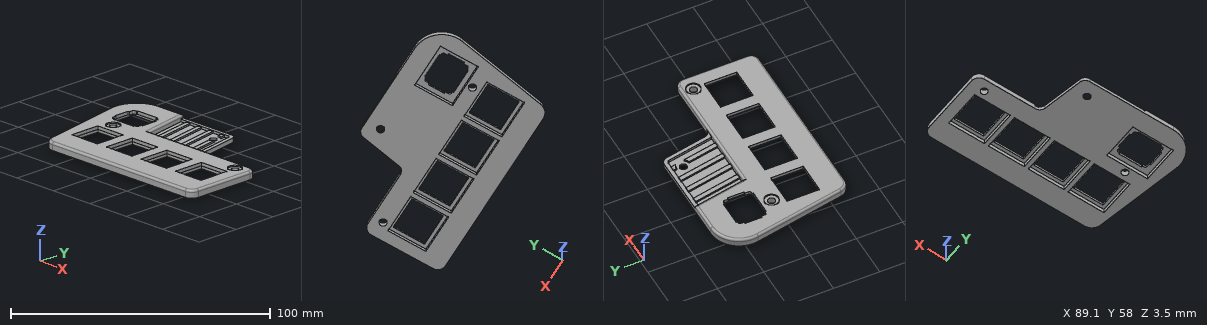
import cadquery as cq
import math

WIDTH = 89.1
DEPTH = 58.0
THICKNESS = 3.5
BAR_DEPTH = 35.0
LEAN = math.radians(10.6)
ARM_RIGHT_FOOT = 29.9
SHOULDER_RADIUS = 12.2
LOWER_LEFT_RADIUS = 5.0
RIGHT_RADIUS = 3.6
EDGE_RADIUS = 1.0

TAB_TOP = 2.0
TAB_RIGHT_FOOT = 58.8
TAB_RADIUS = 3.0
RIM = 1.8
POCKET_RADIUS = TAB_RADIUS - RIM
POCKET_DEPTH = 1.1
POCKET_FLOOR = TAB_TOP - POCKET_DEPTH

RIB_COUNT = 4
RIB_HEIGHT = 0.7
RIB_SPAN = 2.05
RIB_PITCH = 6.3
FIRST_RIB_FOOT = 32.9

HOLE_DIAMETER = 3.0
HEAD_DIAMETER = 6.0
HEAD_DEPTH = 0.5
PLATE_HOLES = [(15.1, 30.3), (82.2, 30.2)]
TAB_HOLE = (48.6, 51.5)

KEY_COUNT = 4
KEY_SIZE = 14.0
KEY_PITCH = 19.0
FIRST_KEY = (18.7, 18.3)

WEB_THICKNESS = 1.4
RECESS_TOP = THICKNESS - WEB_THICKNESS
KEY_RECESS_MARGIN = 1.5
ARM_RECESS_MARGIN = 2.05

ARM_OPENING = (15.95, 41.45)
OPENING_SIZE = (13.8, 11.8)
OPENING_RADIUS = 0.7
WIDE_STEP = (15.2, 7.1)
TALL_STEP = (10.9, 12.9)


def leaning_x(foot_x, foot_y, y):
    """X at height y of a slanted side that passes through the foot point."""
    return foot_x - (y - foot_y) * math.tan(LEAN)


def prism(points, bottom, top):
    return cq.Workplane("XY").workplane(offset=bottom).polyline(points).close().extrude(top - bottom)


def box(center, size, height=THICKNESS):
    return cq.Workplane("XY").center(*center).rect(*size).extrude(height)


def cylinder(center, diameter, bottom, top):
    return cq.Workplane("XY").workplane(offset=bottom).center(*center).circle(diameter / 2).extrude(top - bottom)


def round_corner(body, corner, radius):
    """Round the upright edge that stands at the given corner."""
    edge = cq.selectors.NearestToPointSelector((*corner, THICKNESS / 2))
    return body.edges("|Z").edges(edge).fillet(radius)


def make_plate():
    tangent_x = SHOULDER_RADIUS * (1 - math.cos(LEAN))
    tangent_y = DEPTH - SHOULDER_RADIUS * (1 + math.sin(LEAN))
    lower_left = (leaning_x(tangent_x, tangent_y, 0), 0)
    upper_left = (leaning_x(tangent_x, tangent_y, DEPTH), DEPTH)
    lower_right = (WIDTH, 0)
    upper_right = (WIDTH, BAR_DEPTH)
    notch = (ARM_RIGHT_FOOT, BAR_DEPTH)
    arm_top = (leaning_x(ARM_RIGHT_FOOT, BAR_DEPTH, DEPTH), DEPTH)

    plate = prism([lower_left, lower_right, upper_right, notch, arm_top, upper_left], 0, THICKNESS)
    plate = round_corner(plate, upper_left, SHOULDER_RADIUS)
    plate = round_corner(plate, lower_left, LOWER_LEFT_RADIUS)
    plate = round_corner(plate, lower_right, RIGHT_RADIUS)
    plate = round_corner(plate, upper_right, RIGHT_RADIUS)
    return plate.faces(">Z").edges().fillet(EDGE_RADIUS)


def slanted_panel(left_foot, right_foot, y_top, bottom, top):
    """Upright panel between two leaning sides, standing on the bar's upper edge."""
    return prism(
        [
            (left_foot, BAR_DEPTH),
            (right_foot, BAR_DEPTH),
            (leaning_x(right_foot, BAR_DEPTH, y_top), y_top),
            (leaning_x(left_foot, BAR_DEPTH, y_top), y_top),
        ],
        bottom,
        top,
    )


def make_tab():
    tab = slanted_panel(ARM_RIGHT_FOOT, TAB_RIGHT_FOOT, DEPTH, 0, TAB_TOP)
    tab = round_corner(tab, (leaning_x(TAB_RIGHT_FOOT, BAR_DEPTH, DEPTH), DEPTH), TAB_RADIUS)

    pocket_top_y = DEPTH - RIM
    pocket_right_foot = TAB_RIGHT_FOOT - RIM / math.cos(LEAN)
    pocket_corner = (leaning_x(pocket_right_foot, BAR_DEPTH, pocket_top_y), pocket_top_y)
    pocket = slanted_panel(ARM_RIGHT_FOOT, pocket_right_foot, pocket_top_y, POCKET_FLOOR, TAB_TOP)
    tab = tab.cut(round_corner(pocket, pocket_corner, POCKET_RADIUS))

    rib_top = POCKET_FLOOR + RIB_HEIGHT
    screw_clearance = cylinder(TAB_HOLE, HEAD_DIAMETER, POCKET_FLOOR, TAB_TOP)
    for i in range(RIB_COUNT):
        foot = FIRST_RIB_FOOT + i * RIB_PITCH
        rib = slanted_panel(foot, foot + RIB_SPAN, pocket_top_y, POCKET_FLOOR, rib_top)
        tab = tab.union(rib.cut(screw_clearance))
    return tab


def make_inside_corner():
    """Concave blend between the tab's right side and the bar's upper edge."""
    reach = TAB_RADIUS * math.tan((math.pi / 2 - LEAN) / 2)
    foot = (TAB_RIGHT_FOOT, BAR_DEPTH)
    on_side = (foot[0] - reach * math.sin(LEAN), foot[1] + reach * math.cos(LEAN))
    on_bar = (foot[0] + reach, foot[1])
    center = (on_bar[0], on_bar[1] + TAB_RADIUS)
    wedge = prism([foot, on_bar, center, on_side], 0, TAB_TOP)
    return wedge.cut(cylinder(center, 2 * TAB_RADIUS, 0, TAB_TOP))


def make_arm_opening():
    opening = box(ARM_OPENING, OPENING_SIZE).edges("|Z").fillet(OPENING_RADIUS)
    recess_size = (WIDE_STEP[0] + 2 * ARM_RECESS_MARGIN, TALL_STEP[1] + 2 * ARM_RECESS_MARGIN)
    opening = opening.union(box(ARM_OPENING, WIDE_STEP)).union(box(ARM_OPENING, TALL_STEP))
    return opening.union(box(ARM_OPENING, recess_size, RECESS_TOP))


def make_key_opening(center):
    recess_side = KEY_SIZE + 2 * KEY_RECESS_MARGIN
    opening = box(center, (KEY_SIZE, KEY_SIZE))
    return opening.union(box(center, (recess_side, recess_side), RECESS_TOP))


result = make_plate().union(make_tab()).union(make_inside_corner())
result = result.cut(make_arm_opening())

for i in range(KEY_COUNT):
    result = result.cut(make_key_opening((FIRST_KEY[0] + i * KEY_PITCH, FIRST_KEY[1])))

for center in PLATE_HOLES:
    result = result.cut(cylinder(center, HOLE_DIAMETER, 0, THICKNESS))
    result = result.cut(cylinder(center, HEAD_DIAMETER, THICKNESS - HEAD_DEPTH, THICKNESS))

result = result.cut(cylinder(TAB_HOLE, HOLE_DIAMETER, 0, TAB_TOP))